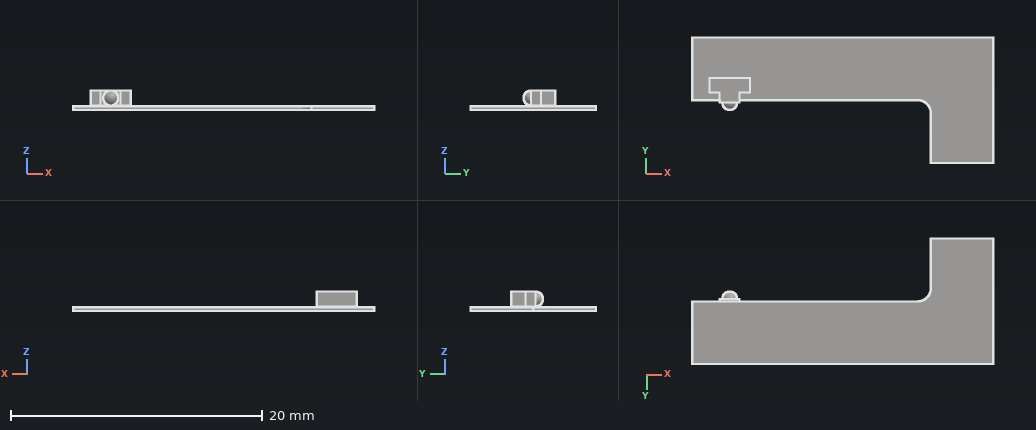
import cadquery as cq

plate_length = 24.0
plate_depth = 10.0
arm_width = plate_depth / 2
plate_thickness = 0.3
inner_corner_radius = 1.0

block_gap = 0.05
block_length = 3.2
block_height = 1.2
wing_depth = 1.13
block_depth = 1.95
stem_width = block_length / 2
dome_radius = block_height / 2
block_center_x = 3.0
block_setback = 3.25
block_back_y = plate_depth - block_setback
stem_front_y = block_back_y - block_depth
block_bottom_z = plate_thickness + block_gap


def make_plate():
    """L-shaped sheet with a rounded inner corner, underside at Z = 0."""
    inner_x = plate_length - arm_width
    inner_y = plate_depth - arm_width
    return (
        cq.Workplane("XY")
        .moveTo(0, plate_depth)
        .lineTo(plate_length, plate_depth)
        .lineTo(plate_length, 0)
        .lineTo(inner_x, 0)
        .lineTo(inner_x, inner_y - inner_corner_radius)
        .radiusArc(
            (inner_x - inner_corner_radius, inner_y),
            -inner_corner_radius,
        )
        .lineTo(0, inner_y)
        .close()
        .extrude(plate_thickness)
    )


def make_domed_block():
    """T-shaped block whose narrow stem overhangs the plate and ends in a hemisphere."""
    base = cq.Workplane("XY", origin=(block_center_x, block_back_y, block_bottom_z))
    wings = base.box(block_length, wing_depth, block_height, centered=(True, False, False))
    wings = wings.translate((0, -wing_depth, 0))
    stem = base.box(stem_width, block_depth, block_height, centered=(True, False, False))
    stem = stem.translate((0, -block_depth, 0))
    dome_center = (block_center_x, stem_front_y, block_bottom_z + dome_radius)
    dome = cq.Workplane("XZ").sphere(dome_radius).translate(dome_center)
    return wings.union(stem).union(dome)


result = cq.Compound.makeCompound([make_plate().val(), make_domed_block().val()])